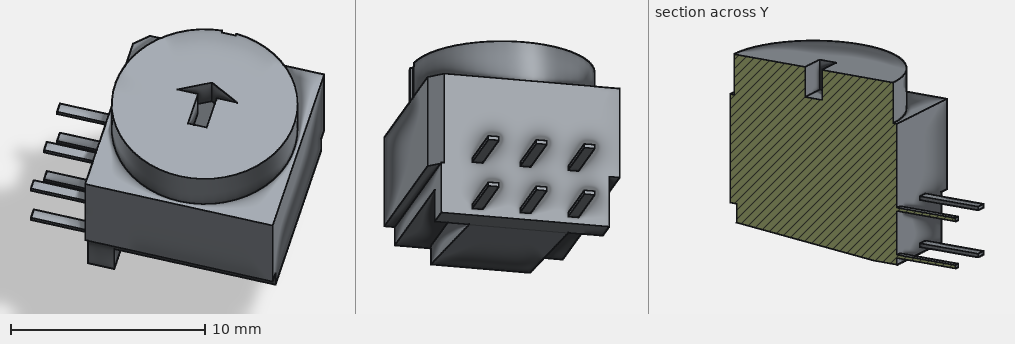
import cadquery as cq

BASE_HEIGHT = 2.74
BODY_HEIGHT = 4.87
CAP_HEIGHT = 2.19
BODY_TOP = BASE_HEIGHT + BODY_HEIGHT

BODY_SIDE = 10.0
BODY_CHAMFER = 0.72
HALF_SIDE = BODY_SIDE / 2

BASE_WIDTH = 8.9
FLANGE_THICKNESS = 1.0
FOOT_LENGTH = 1.4
WEDGE_END_GAP = 0.36
WEDGE_RISE = 0.73
WEDGE_INSET = 1.82

CAP_RADIUS = 4.78
NOTCH_WIDTH = 0.74
NOTCH_DEPTH = 0.14
ARROW_HALF_LENGTH = 1.42
ARROW_HEAD_LENGTH = 0.89
ARROW_HEAD_HALF_WIDTH = 1.59
ARROW_SHAFT_HALF_WIDTH = 0.5
ARROW_DEPTH = 1.62

PIN_LENGTH = 3.5
PIN_EMBED = 0.14
PIN_WIDTH = 0.55
PIN_THICKNESS = 0.2
PIN_PITCH = 2.54
LOWEST_PIN_HEIGHT = 0.46
PIN_ROWS = 2
PINS_PER_ROW = 3


def make_body():
    block = cq.Workplane("XY", origin=(0, 0, BASE_HEIGHT)).rect(BODY_SIDE, BODY_SIDE).extrude(BODY_HEIGHT)
    return block.edges("|Z and <X and >Y").chamfer(BODY_CHAMFER)


def make_base():
    flange_bottom = BASE_HEIGHT - FLANGE_THICKNESS
    foot_end = -HALF_SIDE + FOOT_LENGTH
    flange_and_foot = (
        cq.Workplane("XZ")
        .moveTo(-HALF_SIDE, 0)
        .lineTo(foot_end, 0)
        .lineTo(foot_end, flange_bottom)
        .lineTo(HALF_SIDE, flange_bottom)
        .lineTo(HALF_SIDE, BASE_HEIGHT)
        .lineTo(-HALF_SIDE, BASE_HEIGHT)
        .close()
        .extrude(BASE_WIDTH / 2, both=True)
    )
    wedge_end = HALF_SIDE - WEDGE_END_GAP
    wedge = (
        cq.Workplane("XZ")
        .moveTo(foot_end, 0)
        .lineTo(wedge_end, WEDGE_RISE)
        .lineTo(wedge_end, flange_bottom)
        .lineTo(foot_end, flange_bottom)
        .close()
        .extrude(BASE_WIDTH / 2 - WEDGE_INSET, both=True)
    )
    return flange_and_foot.union(wedge)


def make_cap():
    cap = cq.Workplane("XY", origin=(0, 0, BODY_TOP)).circle(CAP_RADIUS).extrude(CAP_HEIGHT)
    notch = (
        cq.Workplane("XY", origin=(0, CAP_RADIUS, BODY_TOP))
        .rect(NOTCH_WIDTH, 2 * NOTCH_DEPTH)
        .extrude(CAP_HEIGHT)
    )
    return cap.cut(notch)


def make_arrow_recess():
    head_base = ARROW_HALF_LENGTH - ARROW_HEAD_LENGTH
    return (
        cq.Workplane("XY", origin=(0, 0, BODY_TOP + CAP_HEIGHT))
        .moveTo(0, ARROW_HALF_LENGTH)
        .lineTo(ARROW_HEAD_HALF_WIDTH, head_base)
        .lineTo(ARROW_SHAFT_HALF_WIDTH, head_base)
        .lineTo(ARROW_SHAFT_HALF_WIDTH, -ARROW_HALF_LENGTH)
        .lineTo(-ARROW_SHAFT_HALF_WIDTH, -ARROW_HALF_LENGTH)
        .lineTo(-ARROW_SHAFT_HALF_WIDTH, head_base)
        .lineTo(-ARROW_HEAD_HALF_WIDTH, head_base)
        .close()
        .extrude(-ARROW_DEPTH)
    )


def make_pin(y, z):
    length = PIN_LENGTH + PIN_EMBED
    center_x = -HALF_SIDE + PIN_EMBED - length / 2
    return cq.Workplane("XY").box(length, PIN_WIDTH, PIN_THICKNESS).translate((center_x, y, z))


result = make_body().union(make_base()).union(make_cap()).cut(make_arrow_recess())
for row in range(PIN_ROWS):
    for column in range(PINS_PER_ROW):
        pin_y = (column - (PINS_PER_ROW - 1) / 2) * PIN_PITCH
        pin_z = LOWEST_PIN_HEIGHT + row * PIN_PITCH
        result = result.union(make_pin(pin_y, pin_z))